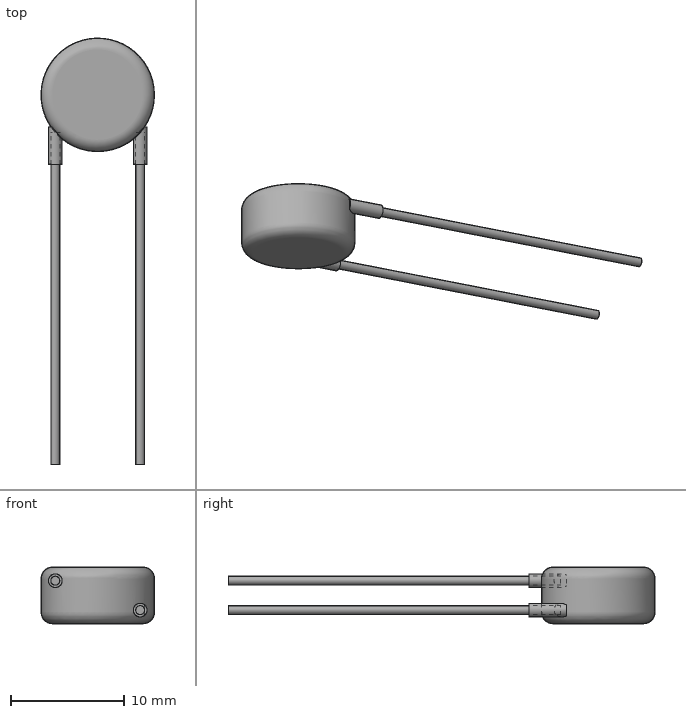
import cadquery as cq
import math

total_length = 37.62
disc_diameter = 10.0
disc_height = disc_diameter / 2
edge_radius = 1.0

lead_spacing = 7.5
lead_height_step = 2.6
lead_diameter = 0.8
sleeve_diameter = 1.2
sleeve_start_y = -2.82
sleeve_end_y = -6.15
lead_start_y = -math.sqrt((disc_diameter / 2) ** 2 - (lead_spacing / 2) ** 2)
lead_tip_y = disc_diameter / 2 - total_length

lead_places = [
    (-lead_spacing / 2, lead_height_step / 2),
    (lead_spacing / 2, -lead_height_step / 2),
]


def rod(place, diameter, start_y, end_y):
    """Round bar along -Y, centred on an (x, z) place."""
    x, z = place
    return (
        cq.Workplane("XZ", origin=(x, start_y, z))
        .circle(diameter / 2)
        .extrude(start_y - end_y)
    )


def make_lead(place):
    """Straight wire from the disc wall, through its sleeve, to the tip."""
    return rod(place, lead_diameter, lead_start_y, lead_tip_y)


def make_coating(leads):
    """Rounded disc with one sleeve per lead, bored to fit the leads."""
    coating = (
        cq.Workplane("XY", origin=(0, 0, -disc_height / 2))
        .circle(disc_diameter / 2)
        .extrude(disc_height)
        .edges("%CIRCLE")
        .fillet(edge_radius)
    )
    for place in lead_places:
        coating = coating.union(rod(place, sleeve_diameter, sleeve_start_y, sleeve_end_y))
    for lead in leads:
        coating = coating.cut(lead)
    return coating


leads = [make_lead(place) for place in lead_places]
coating = make_coating(leads)

result = cq.Compound.makeCompound([coating.val(), *[lead.val() for lead in leads]])